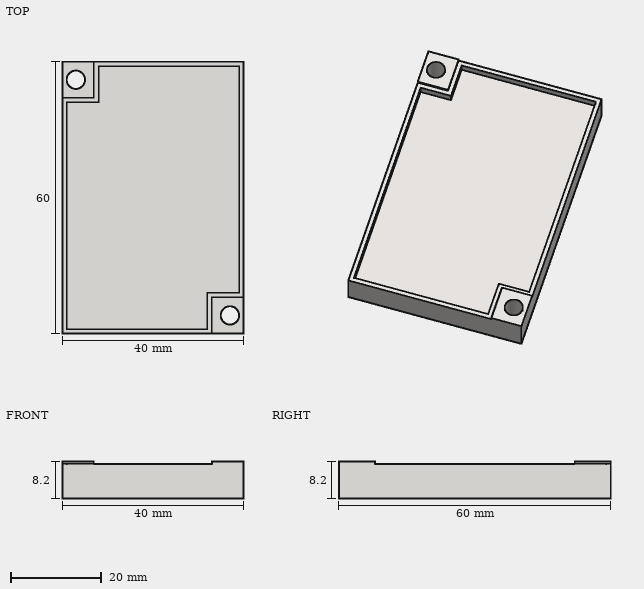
import cadquery as cq

length_x = 40.0
width_y = 60.0
total_height = 8.2
pad_rise = 0.5
rim_height = total_height - pad_rise

wall = 1.0
pocket_depth = 2.0

pad_x = 7.0
pad_y = 8.0
hole_diameter = 4.0
hole_inset_x = 3.0
hole_inset_y = 4.0

PAD_CORNERS = [(-1, 1), (1, -1)]


def corner_block(side_x, side_y, size_x, size_y, bottom, height):
    """Box flush with the outer faces of one corner of the tray."""
    centre_x = side_x * (length_x - size_x) / 2
    centre_y = side_y * (width_y - size_y) / 2
    block = cq.Workplane("XY").box(size_x, size_y, height, centered=(True, True, False))
    return block.translate((centre_x, centre_y, bottom))


def make_pocket():
    """Shallow recess that leaves a rim along the sides and around both pads."""
    floor = rim_height - pocket_depth
    pocket = (
        cq.Workplane("XY")
        .box(length_x - 2 * wall, width_y - 2 * wall, pocket_depth, centered=(True, True, False))
        .translate((0, 0, floor))
    )
    for side_x, side_y in PAD_CORNERS:
        pocket = pocket.cut(
            corner_block(side_x, side_y, pad_x + wall, pad_y + wall, floor, pocket_depth)
        )
    return pocket


def make_tray():
    """Rectangular body with its pocket and the two raised corner pads."""
    tray = cq.Workplane("XY").box(length_x, width_y, rim_height, centered=(True, True, False))
    tray = tray.cut(make_pocket())
    for side_x, side_y in PAD_CORNERS:
        tray = tray.union(corner_block(side_x, side_y, pad_x, pad_y, 0, total_height))
    return tray


def make_mounting_holes():
    """Through-hole cutters, one in each pad."""
    centres = [
        (side_x * (length_x / 2 - hole_inset_x), side_y * (width_y / 2 - hole_inset_y))
        for side_x, side_y in PAD_CORNERS
    ]
    return cq.Workplane("XY").pushPoints(centres).circle(hole_diameter / 2).extrude(total_height)


result = make_tray().cut(make_mounting_holes())